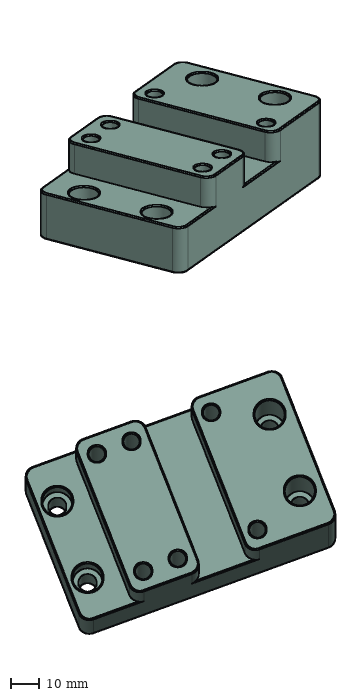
import cadquery as cq

width = 60.0
length = 96.5
height = 30.0
ledge_height = 18.0
corner_radius = 4.0
edge_chamfer = 0.5

front_face = -length / 2
rear_face = length / 2
clamp_front = front_face + 19.0
clamp_depth = 26.1
rear_block_depth = 34.0

mount_diameter = 6.5
counterbore_diameter = 10.5
seat_height = ledge_height - 6.5
mount_spacing = 30.0
front_mount_y = front_face + 7.5
rear_mount_y = rear_face - 9.0

side_hole_diameter = 5.7
side_hole_spacing = 46.0
clamp_hole_ys = (clamp_front + 6.5, clamp_front + 19.5)
blind_hole_y = rear_face - 28.0
blind_hole_depth = 20.0


def rounded_block(front_y, depth, bottom_z, top_z):
    """Full-width block with rounded upright corners and a chamfered top rim."""
    block = cq.Workplane("XY").box(width, depth, top_z - bottom_z, centered=(True, False, False))
    block = block.edges("|Z").fillet(corner_radius).faces(">Z").chamfer(edge_chamfer)
    return block.translate((0, front_y, bottom_z))


def bore(x, y, top_z, diameter, depth):
    """Cutter for a vertical hole with a chamfered mouth at top_z."""
    radius = diameter / 2
    hole = cq.Workplane("XY", origin=(x, y, top_z - depth)).circle(radius).extrude(depth)
    mouth = cq.Solid.makeCone(
        radius, radius + edge_chamfer, edge_chamfer, pnt=cq.Vector(x, y, top_z - edge_chamfer)
    )
    return hole.union(cq.Workplane(mouth))


def mirrored_xs(spacing):
    return (-spacing / 2, spacing / 2)


block_bottom = ledge_height / 2
body = rounded_block(front_face, length, 0, ledge_height).faces("<Z").chamfer(edge_chamfer)
body = body.union(rounded_block(clamp_front, clamp_depth, block_bottom, height))
body = body.union(rounded_block(rear_face - rear_block_depth, rear_block_depth, block_bottom, height))

for x in mirrored_xs(mount_spacing):
    for y, top_z in ((front_mount_y, ledge_height), (rear_mount_y, height)):
        body = body.cut(bore(x, y, top_z, counterbore_diameter, top_z - seat_height))
        body = body.cut(cq.Workplane("XY", origin=(x, y, 0)).circle(mount_diameter / 2).extrude(top_z))

for x in mirrored_xs(side_hole_spacing):
    for y in clamp_hole_ys:
        body = body.cut(bore(x, y, height, side_hole_diameter, height))
    body = body.cut(bore(x, blind_hole_y, height, side_hole_diameter, blind_hole_depth))

result = body